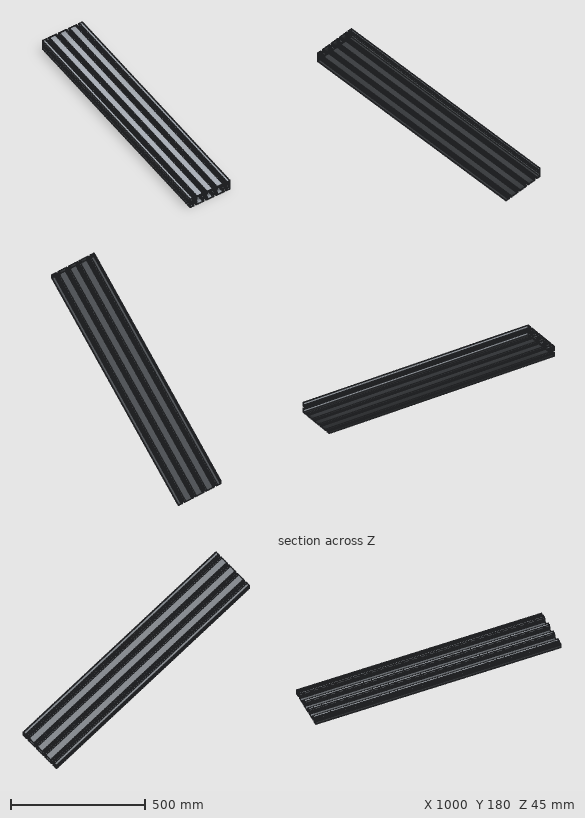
import cadquery as cq

length = 1000.0
width = 180.0
height = 45.0
edge_radius = 2.5

core_count = 4
cell = width / core_count
half_cell = cell / 2
core_positions = [(i - (core_count - 1) / 2) * cell for i in range(core_count)]
core_half = 7.7
bore_diameter = 7.4

mouth_half = 4.2
lip_depth = 4.2
slot_half = 7.0
slot_wide_depth = 7.5
throat_half = 6.5
throat_depth = 12.0
slot_depth = half_cell - core_half
groove_half = 2.0
groove_depth = 1.0

rib_half = 10.0
corner_skin = 1.8
plate_middle = 2.7
plate_edge = 2.0
core_waist_half = 5.5
core_tip_height = 8.5


def cross_section(y):
    """Sketch plane at the -X end, centred on the height at y; its local axes are Y and Z."""
    return cq.Workplane("YZ", origin=(-length / 2, y, 0))


def slot(y, angle):
    """T-slot of the cell at y, turned by angle from the top face about the core axis."""
    right_side = [
        (mouth_half, half_cell),
        (mouth_half, half_cell - lip_depth),
        (slot_half, half_cell - lip_depth),
        (slot_half, half_cell - slot_wide_depth),
        (throat_half, half_cell - throat_depth),
        (throat_half, half_cell - slot_depth),
        (groove_half, half_cell - slot_depth),
    ]
    groove_bottom = (0, half_cell - slot_depth - groove_depth)
    left_side = [(-across, up) for across, up in reversed(right_side)]
    outline = right_side + [groove_bottom] + left_side
    body = cross_section(0).polyline(outline).close().extrude(length)
    return body.rotate((0, 0, 0), (1, 0, 0), angle).translate((0, y, 0))


def bore(y):
    """Round hole through the core at y."""
    return cross_section(y).circle(bore_diameter / 2).extrude(length)


def corner_chamber(side_y, side_z):
    """Square hollow in an outer corner, behind the two slots beside it."""
    size = half_cell - rib_half - corner_skin
    inset = corner_skin + size / 2
    y = side_y * (width / 2 - inset)
    z = side_z * (height / 2 - inset)
    return cross_section(y).center(0, z).rect(size, size).extrude(length)


def middle_chamber(y):
    """Hollow between two cores, with bowed plates above and below and waisted core walls."""
    rib = half_cell - rib_half
    waist = half_cell - core_waist_half
    middle = height / 2 - plate_middle
    corner = height / 2 - plate_edge
    outline = (
        cross_section(y)
        .moveTo(-rib, corner)
        .threePointArc((0, middle), (rib, corner))
        .lineTo(rib, core_tip_height)
        .threePointArc((waist, 0), (rib, -core_tip_height))
        .lineTo(rib, -corner)
        .threePointArc((0, -middle), (-rib, -corner))
        .lineTo(-rib, -core_tip_height)
        .threePointArc((-waist, 0), (-rib, core_tip_height))
        .close()
    )
    return outline.extrude(length)


result = cq.Workplane("XY").box(length, width, height).edges("|X").fillet(edge_radius)

for core_y in core_positions:
    result = result.cut(slot(core_y, 0))
    result = result.cut(slot(core_y, 180))
    result = result.cut(bore(core_y))

result = result.cut(slot(core_positions[0], 90))
result = result.cut(slot(core_positions[-1], -90))

for left_y, right_y in zip(core_positions, core_positions[1:]):
    result = result.cut(middle_chamber((left_y + right_y) / 2))

for side_y in (-1, 1):
    for side_z in (-1, 1):
        result = result.cut(corner_chamber(side_y, side_z))